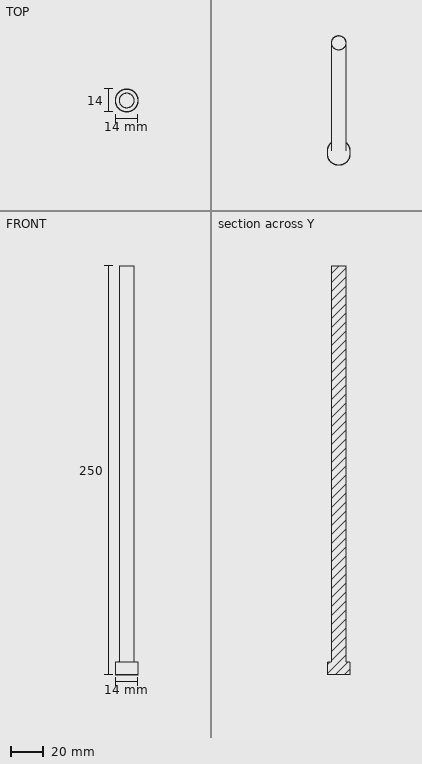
import cadquery as cq

total_length = 250.0
head_diameter = 14.0
head_height = 8.0
shaft_diameter = 9.0
neck_fillet = 0.3
rim_fillet = 0.4

head = cq.Workplane("XY").circle(head_diameter / 2).extrude(head_height)
head = head.faces("<Z or >Z").edges().fillet(rim_fillet)

shaft = cq.Workplane("XY").circle(shaft_diameter / 2).extrude(total_length)
pin = head.union(shaft)

shoulder = pin.faces("|Z").faces(">Z[-2]")
neck_edge = shoulder.edges(cq.selectors.RadiusNthSelector(0))
result = neck_edge.fillet(neck_fillet)